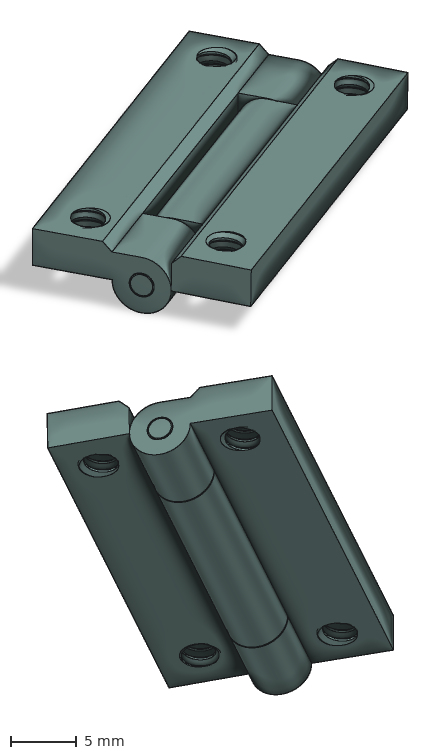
import cadquery as cq
import math

INCH = 25.4
hinge_length = 1.32 * INCH
leaf_reach = 8.87
leaf_thickness = 0.125 * INCH
barrel_radius = 0.0947 * INCH
knuckle_length = 0.8 * INCH
knuckle_clearance = 0.004 * INCH
pin_hole_diameter = 0.079 * INCH
pin_chamfer = 0.1
opening_angle = 0.9

hole_x = 0.22 * INCH
hole_y = 0.53 * INCH
thread_major_diameter = 0.138 * INCH
thread_pitch = INCH / 32
thread_angle = 60
thread_root_flat = thread_pitch / 8
thread_depth = 5 / 8 * thread_pitch * math.cos(math.radians(thread_angle / 2))
thread_minor_diameter = thread_major_diameter - 2 * thread_depth
groove_overlap = 0.1
run_out_turns = 1

fixed_leaf_holes = [
    (-hole_x, hole_y, 60),
    (-hole_x, -hole_y, -25),
]
moving_leaf_holes = [
    (hole_x, hole_y, -30),
    (hole_x, -hole_y, 120),
]

slot_length = knuckle_length + knuckle_clearance
middle_knuckle_length = knuckle_length - knuckle_clearance
end_knuckle_length = (hinge_length - slot_length) / 2
bevel = leaf_thickness - barrel_radius


def centred_prism(sketch, length):
    """Extrude an XZ sketch symmetrically about Y = 0."""
    return sketch.extrude(length / 2, both=True)


def leaf_plate(side):
    """Full-length plate outside the barrel; side is -1 for -X and +1 for +X."""
    outline = (
        cq.Workplane("XZ")
        .moveTo(side * barrel_radius, 0)
        .lineTo(side * leaf_reach, 0)
        .lineTo(side * leaf_reach, leaf_thickness)
        .lineTo(side * (barrel_radius + bevel), leaf_thickness)
        .lineTo(side * barrel_radius, barrel_radius)
        .close()
    )
    return centred_prism(outline, hinge_length)


def knuckle(side, length, centre_y):
    """Barrel that runs tangentially along its top into the plate on the given side."""
    arc_middle = barrel_radius * math.cos(math.radians(45))
    outline = (
        cq.Workplane("XZ")
        .moveTo(side * barrel_radius, 0)
        .lineTo(side * barrel_radius, barrel_radius)
        .lineTo(0, barrel_radius)
        .threePointArc(
            (-side * arc_middle, -arc_middle),
            (side * barrel_radius, 0),
        )
        .close()
    )
    return centred_prism(outline, length).translate((0, centre_y, 0))


def pin_bore():
    """Full-length cylinder on the hinge axis."""
    return centred_prism(cq.Workplane("XZ").circle(pin_hole_diameter / 2), hinge_length)


def tapped_hole(x, y, groove_direction):
    """Cutters for the core hole and its right-handed thread groove, through the leaf."""
    core_radius = thread_minor_diameter / 2
    root_radius = thread_major_diameter / 2
    inner_radius = core_radius - groove_overlap
    half_angle = math.radians(thread_angle / 2)
    root_half = thread_root_flat / 2
    inner_half = root_half + (root_radius - inner_radius) * math.tan(half_angle)

    turns_below_top = math.ceil(leaf_thickness / thread_pitch) + run_out_turns
    start_z = leaf_thickness - turns_below_top * thread_pitch
    helix_height = (turns_below_top + run_out_turns) * thread_pitch
    helix = cq.Wire.makeHelix(thread_pitch, helix_height, core_radius)
    groove = (
        cq.Workplane("XZ")
        .polyline([
            (inner_radius, -inner_half),
            (root_radius, -root_half),
            (root_radius, root_half),
            (inner_radius, inner_half),
        ])
        .close()
        .sweep(cq.Workplane(helix), isFrenet=True)
        .rotate((0, 0, 0), (0, 0, 1), groove_direction)
        .translate((x, y, start_z))
    )
    core = cq.Workplane("XY").center(x, y).circle(core_radius).extrude(leaf_thickness)
    return core, groove


def drill_and_tap(leaf, holes):
    """Cut each thread groove, then its core hole."""
    for x, y, groove_direction in holes:
        core, groove = tapped_hole(x, y, groove_direction)
        leaf = leaf.cut(groove).cut(core)
    return leaf


def build_fixed_leaf():
    """Leaf on -X carrying the two end knuckles."""
    leaf = leaf_plate(-1)
    for end in (-1, 1):
        centre_y = end * (hinge_length - end_knuckle_length) / 2
        leaf = leaf.union(knuckle(-1, end_knuckle_length, centre_y))
    return drill_and_tap(leaf.cut(pin_bore()), fixed_leaf_holes)


def build_moving_leaf():
    """Leaf on +X carrying the middle knuckle, turned slightly about the pin."""
    leaf = leaf_plate(1).union(knuckle(1, middle_knuckle_length, 0))
    leaf = drill_and_tap(leaf.cut(pin_bore()), moving_leaf_holes)
    return leaf.rotate((0, 0, 0), (0, 1, 0), opening_angle)


def build_pin():
    """Pin filling the bore, flush with the end knuckles and chamfered at both ends."""
    return pin_bore().edges("%CIRCLE").chamfer(pin_chamfer)


fixed_leaf = build_fixed_leaf()
moving_leaf = build_moving_leaf()
pin = build_pin()

result = cq.Compound.makeCompound([
    fixed_leaf.solids().val(),
    moving_leaf.solids().val(),
    pin.solids().val(),
])